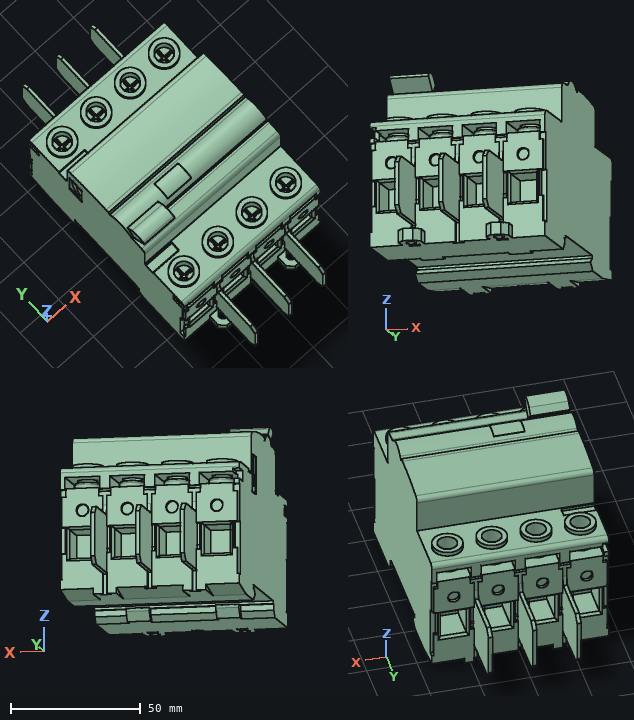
import cadquery as cq
import math

WIDTH = 70.6
POLES = 4
PITCH = WIDTH / POLES
HALF_WIDTH = WIDTH / 2
HALF_DEPTH = 45.0
HALF_TOTAL = 67.0
END_SIGNS = (-1, 1)

SHOULDER_Z = 50.0
TOWER_Y = 22.4
TOWER_FRONT_Z = 65.8
TOWER_REAR_Z = 65.7
ROUND = 2.0
ROOF_MIDDLE = (9.4, 67.1)
ROOF_END = (0.1, 67.4)
GROOVE_EDGE = (-1.5, 67.3)
GROOVE_FLOOR = (-2.1, 66.0)
FRONT_GROOVE_FLOOR = (-15.0, 66.0)
FRONT_GROOVE_EDGE = (-16.0, 66.2)
DOME_REAR_Y = -3.5
DOME_FRONT_Y = -14.5
DOME_Y = -8.6
DOME_TOP = 69.1
DOME_R = 7.6
RAIL_TOP = 6.0
RAIL_REAR_Y = 18.1
RAIL_FRONT_Y = 17.5
UNDERCUT_Z = 5.0
HOOK_TIP = (15.4, 2.8)
HOOK_FOOT_Y = 19.0
CLIP_SEAT_Y = 18.8
CLIP_SEAT_BEVEL = (2.1, 2.5)

CLIP_X = PITCH
CLIP_W = 9.1
CLIP_H = 4.8
JAW_FOOT_Y = -17.8
JAW_CORNER = (-15.5, 3.8)
JAW_TIP_Y = -15.3
CLIP_TIP = 52.4
CLIP_BEVEL = 2.5
CLIP_HOLE_Y = 47.8
CLIP_HOLE_D = 4.0
SLANT_H = 2.1
SLANT_L = 13.1

SCREW_Y = 35.0
RING_D = 12.0
RING_H = 1.7
ACCESS_D = 7.8
CAVITY_W = 13.7
CAVITY_BOTTOM = 41.5
CAVITY_TOP = 46.0
CAVITY_DEPTH = 17.4
HEAD_D = 10.0
HEAD_H = 3.4
HEAD_ROUND = 0.8
CROSS_L = 7.5
CROSS_W = 1.0
CROSS_DEPTH = 1.3
GAUGE_D = 4.7
GAUGE_Z = 33.0
GAUGE_DEPTH = 1.3
WINDOW_W = 12.3
WINDOW_H = 13.3
WINDOW_TOP = 26.5
WINDOW_Z = WINDOW_TOP - WINDOW_H / 2
WINDOW_RIM = 1.0
WINDOW_DEPTH = 13.4

SLOT_W = 1.6
THROAT_DEPTH = 1.2
CHANNEL_DEPTH = 2.4
CHANNEL_W = 4.2
SIDE_CHANNEL_BOTTOM = 6.0
CHANNEL_TOP = WINDOW_TOP
ENTRY_Z = 16.1
HEAD_SLOT_Z = 38.3
HEAD_SLOT_TOP = 41.1
HEAD_SLOT_W = 4.7

BARRIER_BOTTOM = 8.0
BARRIER_TOP = 30.7
BARRIER_BEVEL = 2.8
ROOT_Y = 45.8
ROOT_Z = 34.7
WING_TOP = 17.8
BARRIER_HEAD_TOP = 40.0

LABEL_L = 13.4
LABEL_W = 4.2
LABEL_GAP = 0.5
LABEL_DEPTH = 1.14
NOTCH_L = 6.4
NOTCH_W = 2.5
NOTCH_BOTTOM = 43.1
NOTCH_TOP = 47.2
PANEL_Y = 17.5
PANEL_Z = 49.6
PANEL_W = 7.4
PANEL_H = 14.6
PANEL_DEPTH = 0.4
TRACK_W = 2.8
TRACK_R = 13.4
TRACK_CENTRE = (5.2, 53.2)
TRACK_INNER = TRACK_R - TRACK_W / 2
TRACK_OUTER = TRACK_R + TRACK_W / 2
TRACK_START = 7
TRACK_END = -31
TRACK_MIDDLE = (TRACK_START + TRACK_END) / 2
TRACK_DEPTH = 2.7

LEVER_X = -34.6
LEVER_W = 15.8
LEVER_HEEL = (-11.5, 70.2)
LEVER_SHOULDER = (-14.0, 72.8)
LEVER_CREST = (-17.3, 74.0)
LEVER_NOSE = (-20.4, 73.3)
LEVER_TIP = (-21.2, 72.6)
LEVER_LIP = (-21.2, 72.0)
LEVER_ROOT = [(-16.0, 66.9), (-15.4, 66.0), (-14.3, 66.0), (-14.3, 67.3)]
BUTTON_X = -8.6
BUTTON_Y = -8.8
BUTTON_W = 12.3
BUTTON_L = 7.8
BUTTON_RISE = 0.1

POLE_X = [(i - (POLES - 1) / 2) * PITCH for i in range(POLES)]
GAP_X = [(i - POLES / 2) * PITCH for i in range(1, POLES)]
SIDE_X = (-HALF_WIDTH, HALF_WIDTH)


def block(x0, x1, y0, y1, z0, z1):
    """Box given by its limits along each axis, in either order for Y."""
    size = (x1 - x0, abs(y1 - y0), z1 - z0)
    return cq.Workplane("XY").box(*size, centered=False).translate((x0, min(y0, y1), z0))


def end_block(sign, x, width, depth, z0, z1):
    """Box centred on x, sunk from the end face on the given side."""
    return block(x - width / 2, x + width / 2, sign * (HALF_DEPTH - depth), sign * HALF_DEPTH, z0, z1)


def upright(x, y, z, diameter, height):
    """Vertical cylinder standing at height z."""
    return cq.Workplane("XY").workplane(offset=z).center(x, y).circle(diameter / 2).extrude(height)


def dome_point(y):
    """Point of the dome arc at the given y."""
    drop = DOME_R - math.sqrt(DOME_R ** 2 - (y - DOME_Y) ** 2)
    return (y, DOME_TOP - drop)


def shell():
    """Side outline extruded over the full width."""
    diag = ROUND * (1 - math.sqrt(0.5))
    front_corner = (-TOWER_Y + diag, TOWER_FRONT_Z - diag)
    rear_corner = (TOWER_Y - diag, TOWER_REAR_Z - diag)
    shoulder_diag = HALF_DEPTH - diag
    return (
        cq.Workplane("YZ", origin=(-HALF_WIDTH, 0, 0))
        .moveTo(HALF_DEPTH - SLANT_L, 0)
        .lineTo(HALF_DEPTH, SLANT_H)
        .lineTo(HALF_DEPTH, SHOULDER_Z - ROUND)
        .threePointArc((shoulder_diag, SHOULDER_Z - diag), (HALF_DEPTH - ROUND, SHOULDER_Z))
        .lineTo(TOWER_Y, SHOULDER_Z)
        .lineTo(TOWER_Y, TOWER_REAR_Z - ROUND)
        .threePointArc(rear_corner, (TOWER_Y - ROUND, TOWER_REAR_Z))
        .threePointArc(ROOF_MIDDLE, ROOF_END)
        .lineTo(*GROOVE_EDGE)
        .lineTo(*GROOVE_FLOOR)
        .lineTo(*dome_point(DOME_REAR_Y))
        .threePointArc((DOME_Y, DOME_TOP), dome_point(DOME_FRONT_Y))
        .lineTo(*FRONT_GROOVE_FLOOR)
        .lineTo(*FRONT_GROOVE_EDGE)
        .lineTo(-TOWER_Y + ROUND, TOWER_FRONT_Z)
        .threePointArc(front_corner, (-TOWER_Y, TOWER_FRONT_Z - ROUND))
        .lineTo(-TOWER_Y, SHOULDER_Z)
        .lineTo(-HALF_DEPTH + ROUND, SHOULDER_Z)
        .threePointArc((-shoulder_diag, SHOULDER_Z - diag), (-HALF_DEPTH, SHOULDER_Z - ROUND))
        .lineTo(-HALF_DEPTH, 0)
        .lineTo(-CLIP_SEAT_Y - CLIP_SEAT_BEVEL[0], 0)
        .lineTo(-CLIP_SEAT_Y, CLIP_SEAT_BEVEL[1])
        .lineTo(-CLIP_SEAT_Y, UNDERCUT_Z)
        .lineTo(-RAIL_FRONT_Y, UNDERCUT_Z)
        .lineTo(-RAIL_FRONT_Y, RAIL_TOP)
        .lineTo(RAIL_REAR_Y, RAIL_TOP)
        .lineTo(RAIL_REAR_Y, UNDERCUT_Z)
        .lineTo(*HOOK_TIP)
        .lineTo(HOOK_FOOT_Y, 0)
        .close()
        .extrude(WIDTH)
    )


def rail_clip(x):
    """Sliding clip: a jaw under the rail, a bar, and a bevelled lug with a hole."""
    bar = (
        cq.Workplane("YZ", origin=(x - CLIP_W / 2, 0, 0))
        .polyline([(JAW_FOOT_Y, 0), JAW_CORNER, (JAW_TIP_Y, CLIP_H), (-CLIP_TIP, CLIP_H), (-CLIP_TIP, 0)])
        .close()
        .extrude(CLIP_W)
        .edges("|Z and <Y")
        .chamfer(CLIP_BEVEL)
    )
    return bar.cut(upright(x, -CLIP_HOLE_Y, 0, CLIP_HOLE_D, CLIP_H))


def rear_foot(x):
    """Foot below the sloped rear edge, in line with a clip."""
    return end_block(1, x, CLIP_W, SLANT_L, 0, SLANT_H)


def lever():
    """Toggle lever leaning over the front of the dome."""
    return (
        cq.Workplane("YZ", origin=(LEVER_X, 0, 0))
        .moveTo(*LEVER_HEEL)
        .lineTo(*LEVER_SHOULDER)
        .threePointArc(LEVER_CREST, LEVER_NOSE)
        .threePointArc(LEVER_TIP, LEVER_LIP)
        .polyline([LEVER_LIP, *LEVER_ROOT])
        .close()
        .extrude(LEVER_W)
    )


def test_button():
    """Slightly raised patch following the dome."""
    skin = (
        cq.Workplane("YZ", origin=(BUTTON_X - BUTTON_W / 2, 0, 0))
        .center(DOME_Y, DOME_TOP - DOME_R)
        .circle(DOME_R + BUTTON_RISE)
        .extrude(BUTTON_W)
    )
    patch = cq.Workplane("XY").box(BUTTON_W, BUTTON_L, DOME_R).translate((BUTTON_X, BUTTON_Y, DOME_TOP))
    return skin.intersect(patch)


def channel_block(x, sign, z0, z1):
    """Box filling the wide channel behind the throat between two heights."""
    return block(x - CHANNEL_W / 2, x + CHANNEL_W / 2,
                 sign * (HALF_DEPTH - CHANNEL_DEPTH), sign * (HALF_DEPTH - THROAT_DEPTH), z0, z1)


def screw_access(x, sign):
    """Screw cavity open to the end face, with the driver hole above it."""
    cavity = end_block(sign, x, CAVITY_W, CAVITY_DEPTH, CAVITY_BOTTOM, CAVITY_TOP)
    hole_height = SHOULDER_Z + RING_H - CAVITY_BOTTOM
    return cavity.union(upright(x, sign * SCREW_Y, CAVITY_BOTTOM, ACCESS_D, hole_height))


def screw_head(x, sign):
    """Cross-slotted screw head standing on the cavity floor."""
    y = sign * SCREW_Y
    head = upright(x, y, CAVITY_BOTTOM, HEAD_D, HEAD_H).faces(">Z").edges().fillet(HEAD_ROUND)
    cross_z = CAVITY_BOTTOM + HEAD_H - CROSS_DEPTH / 2
    for length_x, length_y in ((CROSS_L, CROSS_W), (CROSS_W, CROSS_L)):
        arm = cq.Workplane("XY").box(length_x, length_y, CROSS_DEPTH).translate((x, y, cross_z))
        head = head.cut(arm)
    return head


def wire_entry(x, sign):
    """Tapered wire window with a straight blind hole behind it, and the gauge hole above."""
    face = cq.Plane((x, sign * HALF_DEPTH, WINDOW_Z), (1, 0, 0), (0, -sign, 0))
    inner = (WINDOW_W - 2 * WINDOW_RIM, WINDOW_H - 2 * WINDOW_RIM)
    funnel = (
        cq.Workplane(face)
        .rect(WINDOW_W, WINDOW_H)
        .workplane(offset=WINDOW_RIM)
        .rect(*inner)
        .loft(ruled=True)
    )
    shaft = cq.Workplane(face).rect(*inner).extrude(WINDOW_DEPTH)
    gauge_face = cq.Plane((x, sign * HALF_DEPTH, GAUGE_Z), (1, 0, 0), (0, -sign, 0))
    gauge = cq.Workplane(gauge_face).circle(GAUGE_D / 2).extrude(GAUGE_DEPTH)
    return funnel.union(shaft).union(gauge)


def barrier_slot(x, sign, bottom):
    """Slot for a barrier; only half of it falls inside the housing at the side faces."""
    throat = end_block(sign, x, SLOT_W, THROAT_DEPTH, bottom, HEAD_SLOT_Z)
    entry = end_block(sign, x, CHANNEL_W, THROAT_DEPTH, ENTRY_Z, CHANNEL_TOP)
    head = end_block(sign, x, HEAD_SLOT_W, THROAT_DEPTH, HEAD_SLOT_Z, HEAD_SLOT_TOP)
    return throat.union(entry).union(head).union(channel_block(x, sign, bottom, CHANNEL_TOP))


def label_recess(sign):
    """Shallow recess on the shoulder beside the tower."""
    near = TOWER_Y + LABEL_GAP
    return block(-HALF_WIDTH, -HALF_WIDTH + LABEL_L, sign * near, sign * (near + LABEL_W),
                 SHOULDER_Z - LABEL_DEPTH, SHOULDER_Z)


def side_notch(sign):
    """Notch in the -X side that opens into the first screw cavity."""
    return end_block(sign, -HALF_WIDTH + NOTCH_W / 2, NOTCH_W, NOTCH_L, NOTCH_BOTTOM, NOTCH_TOP)


def track_point(radius, angle):
    """Point on the bent track, measured from the centre of its bend."""
    return (radius * math.cos(math.radians(angle)), radius * math.sin(math.radians(angle)))


def side_panel():
    """Rectangular recess on the -X side with a bent, round-ended track in its floor."""
    plane = cq.Workplane("YZ", origin=(-HALF_WIDTH, 0, 0))
    panel = plane.center(PANEL_Y, PANEL_Z).rect(PANEL_W, PANEL_H).extrude(PANEL_DEPTH)
    track = (
        plane.center(*TRACK_CENTRE)
        .moveTo(*track_point(TRACK_OUTER, TRACK_START))
        .threePointArc(track_point(TRACK_OUTER, TRACK_MIDDLE), track_point(TRACK_OUTER, TRACK_END))
        .tangentArcPoint(track_point(TRACK_INNER, TRACK_END), relative=False)
        .threePointArc(track_point(TRACK_INNER, TRACK_MIDDLE), track_point(TRACK_INNER, TRACK_START))
        .tangentArcPoint(track_point(TRACK_OUTER, TRACK_START), relative=False)
        .close()
        .extrude(TRACK_DEPTH)
    )
    return panel.union(track)


def housing_body():
    body = shell().union(lever()).union(test_button())
    for x in (-CLIP_X, CLIP_X):
        body = body.union(rear_foot(x)).union(rail_clip(x))
    for sign in END_SIGNS:
        for x in POLE_X:
            body = body.union(upright(x, sign * SCREW_Y, SHOULDER_Z, RING_D, RING_H))
            body = body.cut(screw_access(x, sign)).union(screw_head(x, sign))
            body = body.cut(wire_entry(x, sign))
        for x in GAP_X:
            body = body.cut(barrier_slot(x, sign, 0))
        for x in SIDE_X:
            body = body.cut(barrier_slot(x, sign, SIDE_CHANNEL_BOTTOM))
        body = body.cut(label_recess(sign)).cut(side_notch(sign))
    return body.cut(side_panel())


def barrier(x, sign):
    """Phase barrier: a bevelled plate held by its wings in the channel and its head above."""
    inner = HALF_DEPTH - THROAT_DEPTH
    outline = [
        (inner, BARRIER_BOTTOM),
        (HALF_TOTAL - BARRIER_BEVEL, BARRIER_BOTTOM),
        (HALF_TOTAL, BARRIER_BOTTOM + BARRIER_BEVEL),
        (HALF_TOTAL, BARRIER_TOP - BARRIER_BEVEL),
        (HALF_TOTAL - BARRIER_BEVEL, BARRIER_TOP),
        (ROOT_Y, BARRIER_TOP),
        (HALF_DEPTH, ROOT_Z),
        (HALF_DEPTH, HEAD_SLOT_Z),
        (inner, HEAD_SLOT_Z),
    ]
    plate = (
        cq.Workplane("YZ", origin=(x - SLOT_W / 2, 0, 0))
        .polyline([(sign * y, z) for y, z in outline])
        .close()
        .extrude(SLOT_W)
    )
    wings = channel_block(x, sign, BARRIER_BOTTOM, WING_TOP)
    head = end_block(sign, x, HEAD_SLOT_W, THROAT_DEPTH, HEAD_SLOT_Z, BARRIER_HEAD_TOP)
    return plate.union(wings).union(head)


housing = housing_body()
barriers = [barrier(x, sign) for sign in END_SIGNS for x in GAP_X]

result = cq.Compound.makeCompound([housing.val(), *[b.val() for b in barriers]])